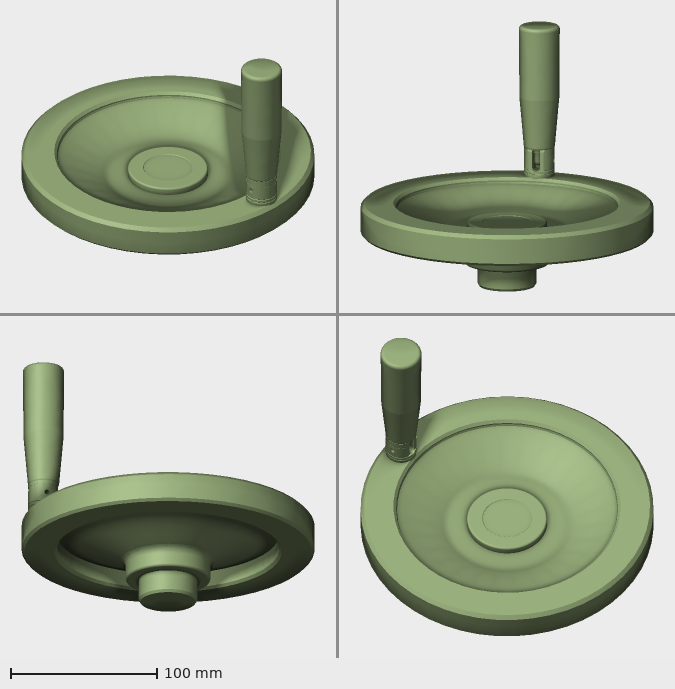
import cadquery as cq
import math


rim_diameter = 200.0
rim_radius = rim_diameter / 2
rim_height = 21.4
rim_top_chamfer = 2.5
rim_bottom_chamfer = 1.8
rim_inner_radius = 75.8
rim_inner_chamfer = 1.8
rim_wall_bottom_z = -2.8

dish_outer_radius = 75.2
dish_outer_z = -4.0
dish_floor_z = -17.7
dish_floor_edge_radius = 42.3
dish_floor_fillet = 9.7
web_slope = 0.425
web_root_z = -28.6
web_root_fillet = 4.6

hub_top_z = -12.7
hub_top_radius = 27.5
hub_top_fillet = 1.5
hub_bottom_z = -42.3
hub_bottom_radius = 29.0
hub_bottom_fillet = 1.8
bore_radius = 16.5
bore_chamfer = 0.5
bushing_diameter = 40.0
bushing_radius = bushing_diameter / 2
bushing_bottom_z = -57.8
bushing_chamfer_height = 1.8
bushing_chamfer_width = 1.2

handle_x = 87.5
handle_overlap = 2.0
collar_radius = 10.5
collar_height = 4.8
collar_groove_z = 2.5
collar_groove_depth = 0.3
neck_radius = collar_radius
neck_step = 0.1
neck_band_bottom_z = 14.7
neck_band_top_z = 17.1
grip_bottom_z = 19.5
grip_chamfer_height = 1.0
grip_base_radius = 10.3
grip_lower_radius = 10.7
grip_shoulder_z = 54.8
grip_shoulder_radius = 13.7
grip_diameter = 28.0
grip_radius = grip_diameter / 2
grip_top_z = 104.8
grip_top_fillet = 2.5

flat_width = 10.9
flat_top_z = 18.0
flat_top_slope_depth = 0.5
slot_width = 5.5
slot_bottom_center_z = 7.0
shaft_bottom_z = 7.0
shaft_radius = 4.2
shaft_end_fillet = 3.0
shaft_shoulder_z = 16.3
shaft_shoulder_diameter = 11.0
neck_hole_diameter = 3.5
shaft_hole_diameter = 3.2
cross_hole_z = 10.9


def make_wheel():
    """Rim, dished web, hub and bushing as one revolved body."""
    rim_bottom_z = -rim_height
    web_rim_z = web_root_z + web_slope * (rim_inner_radius - hub_bottom_radius)
    profile = (
        cq.Workplane("XZ")
        .moveTo(0, bushing_bottom_z)
        .lineTo(bushing_radius - bushing_chamfer_width, bushing_bottom_z)
        .lineTo(bushing_radius, bushing_bottom_z + bushing_chamfer_height)
        .lineTo(bushing_radius, hub_bottom_z)
        .lineTo(hub_bottom_radius, hub_bottom_z)
        .lineTo(hub_bottom_radius, web_root_z)
        .lineTo(rim_inner_radius, web_rim_z)
        .lineTo(rim_inner_radius, rim_bottom_z + rim_inner_chamfer)
        .lineTo(rim_inner_radius + rim_inner_chamfer, rim_bottom_z)
        .lineTo(rim_radius - rim_bottom_chamfer, rim_bottom_z)
        .lineTo(rim_radius, rim_bottom_z + rim_bottom_chamfer)
        .lineTo(rim_radius, -rim_top_chamfer)
        .lineTo(rim_radius - rim_top_chamfer, 0)
        .lineTo(rim_inner_radius + rim_inner_chamfer, 0)
        .lineTo(rim_inner_radius, -rim_inner_chamfer)
        .lineTo(rim_inner_radius, rim_wall_bottom_z)
        .lineTo(dish_outer_radius, dish_outer_z)
        .lineTo(dish_floor_edge_radius, dish_floor_z)
        .lineTo(hub_top_radius, dish_floor_z)
        .lineTo(hub_top_radius, hub_top_z)
        .lineTo(bore_radius + bore_chamfer, hub_top_z)
        .lineTo(bore_radius, hub_top_z - bore_chamfer)
        .lineTo(0, hub_top_z - bore_chamfer)
        .close()
    )
    wheel = profile.revolve(360, (0, 0, 0), (0, 1, 0))
    rounded_circles = [
        (hub_bottom_radius, hub_bottom_z, hub_bottom_fillet),
        (hub_bottom_radius, web_root_z, web_root_fillet),
        (dish_floor_edge_radius, dish_floor_z, dish_floor_fillet),
        (hub_top_radius, hub_top_z, hub_top_fillet),
    ]
    for radius, z, fillet in rounded_circles:
        wheel = round_circle(wheel, radius, z, fillet)
    return wheel


def round_circle(body, radius, z, fillet):
    """Fillet the circular edge of the given radius and height about the Z axis."""
    tolerance = 0.002

    def is_wanted(edge):
        box = edge.BoundingBox()
        is_level = abs(box.zmin - z) < tolerance and abs(box.zmax - z) < tolerance
        return is_level and edge.geomType() == "CIRCLE" and abs(edge.radius() - radius) < tolerance

    return body.edges().filter(is_wanted).fillet(fillet)


def make_handle_blank():
    """Collar, neck and grip revolved about the Z axis."""
    grip_side_top_z = grip_top_z - grip_top_fillet
    fillet_middle = (
        grip_radius - grip_top_fillet * (1 - math.sqrt(0.5)),
        grip_side_top_z + grip_top_fillet * math.sqrt(0.5),
    )
    profile = (
        cq.Workplane("XZ")
        .moveTo(0, -handle_overlap)
        .lineTo(collar_radius, -handle_overlap)
        .lineTo(collar_radius, collar_groove_z - collar_groove_depth)
        .lineTo(collar_radius - collar_groove_depth, collar_groove_z)
        .lineTo(collar_radius, collar_groove_z + collar_groove_depth)
        .lineTo(collar_radius, collar_height - collar_groove_depth)
        .lineTo(collar_radius - collar_groove_depth, collar_height)
        .lineTo(neck_radius, collar_height + collar_groove_depth)
        .lineTo(neck_radius, neck_band_bottom_z)
        .lineTo(neck_radius - neck_step, neck_band_bottom_z)
        .lineTo(neck_radius - neck_step, neck_band_top_z)
        .lineTo(neck_radius, neck_band_top_z)
        .lineTo(neck_radius, grip_bottom_z)
        .lineTo(grip_base_radius, grip_bottom_z)
        .lineTo(grip_lower_radius, grip_bottom_z + grip_chamfer_height)
        .lineTo(grip_shoulder_radius, grip_shoulder_z)
        .lineTo(grip_radius, grip_side_top_z)
        .threePointArc(fillet_middle, (grip_radius - grip_top_fillet, grip_top_z))
        .lineTo(0, grip_top_z)
        .close()
    )
    return profile.revolve(360, (0, 0, 0), (0, 1, 0))


def make_flat_cutter():
    """Flat on the -X side of the neck, leaning inwards at its top end."""
    flat_x = -math.sqrt(neck_radius**2 - (flat_width / 2) ** 2)
    outside_x = -2 * neck_radius
    profile = (
        cq.Workplane("XZ")
        .moveTo(outside_x, collar_height)
        .lineTo(flat_x, collar_height)
        .lineTo(flat_x, flat_top_z)
        .lineTo(flat_x + flat_top_slope_depth, grip_bottom_z)
        .lineTo(outside_x, grip_bottom_z)
        .close()
    )
    return profile.extrude(neck_radius, both=True)


def make_slot_cutter():
    """Round-bottomed slot reaching from the flat to the handle axis."""
    half_width = slot_width / 2
    profile = (
        cq.Workplane("YZ")
        .moveTo(-half_width, grip_bottom_z)
        .lineTo(-half_width, slot_bottom_center_z)
        .threePointArc((0, slot_bottom_center_z - half_width), (half_width, slot_bottom_center_z))
        .lineTo(half_width, grip_bottom_z)
        .close()
    )
    return profile.extrude(-2 * neck_radius)


def make_shaft():
    """Stepped shaft with a rounded lower end, standing in the slot."""
    tip = (
        cq.Workplane("XY", origin=(0, 0, shaft_bottom_z))
        .circle(shaft_radius)
        .extrude(grip_bottom_z - shaft_bottom_z)
        .faces("<Z")
        .edges()
        .fillet(shaft_end_fillet)
    )
    shoulder = (
        cq.Workplane("XY", origin=(0, 0, shaft_shoulder_z))
        .circle(shaft_shoulder_diameter / 2)
        .extrude(grip_bottom_z - shaft_shoulder_z)
    )
    return tip.union(shoulder)


def make_cross_hole(diameter):
    """Pin hole along Y through the neck and the shaft."""
    return (
        cq.Workplane("XZ", origin=(0, 0, cross_hole_z))
        .circle(diameter / 2)
        .extrude(2 * neck_radius, both=True)
    )


def make_handle():
    neck_hole = make_cross_hole(neck_hole_diameter)
    shaft = make_shaft().cut(make_cross_hole(shaft_hole_diameter))
    handle = (
        make_handle_blank()
        .cut(make_flat_cutter())
        .cut(make_slot_cutter())
        .cut(neck_hole)
        .union(shaft)
    )
    return handle.translate((handle_x, 0, 0))


result = make_wheel().union(make_handle())